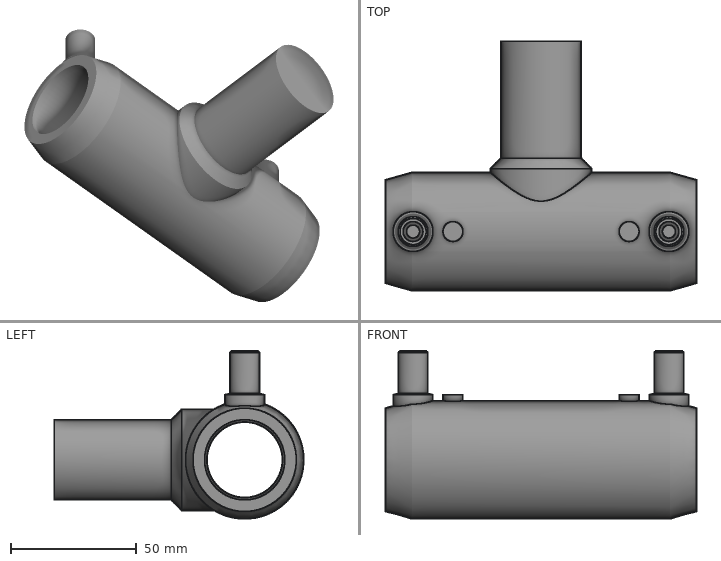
import cadquery as cq

sleeve_length = 124.0
sleeve_radius = 23.5
sleeve_end_radius = 20.6
end_taper_length = 10.5
socket_radius = 16.0
stop_radius = 15.0
stop_length = 3.7

branch_reach = 75.9
branch_radius = 16.0
collar_radius = 20.2
collar_reach = 25.0
collar_chamfer = collar_radius - branch_radius

terminal_x = 51.0
terminal_top = 43.4
terminal_radius = 6.0
terminal_chamfer = 0.7
terminal_base_radius = 7.9
terminal_base_top = 26.4
terminal_base_rim = 25.9
well_radius = 4.0
well_depth = 11.2
pin_radius = 2.6
pin_recess = 2.5

indicator_x = 35.1
indicator_radius = 4.0
indicator_top = 25.9

wall_start = (socket_radius + sleeve_end_radius) / 2


def riser(x, radius, bottom, top):
    """Vertical cylinder at the given X, between two heights."""
    return cq.Workplane("XY", origin=(x, 0, bottom)).circle(radius).extrude(top - bottom)


def bore(radius, length):
    """Cylinder along X, centred on the part."""
    return cq.Workplane("YZ").circle(radius).extrude(length / 2, both=True)


def make_sleeve():
    """Solid sleeve body with a taper at both ends."""
    half = sleeve_length / 2
    shoulder = half - end_taper_length
    profile = [
        (-half, 0),
        (-half, sleeve_end_radius),
        (-shoulder, sleeve_radius),
        (shoulder, sleeve_radius),
        (half, sleeve_end_radius),
        (half, 0),
    ]
    return cq.Workplane("XY").polyline(profile).close().revolve(360, (0, 0, 0), (1, 0, 0))


def make_branch():
    """Branch spigot with a collar that tapers down to it at 45 degrees."""
    profile = [
        (0, 0),
        (collar_radius, 0),
        (collar_radius, collar_reach),
        (branch_radius, collar_reach + collar_chamfer),
        (branch_radius, branch_reach),
        (0, branch_reach),
    ]
    return cq.Workplane("XY").polyline(profile).close().revolve(360, (0, 0, 0), (0, 1, 0))


def make_terminal(x):
    """Post on a base with a shallow conical top, and a contact pin standing in a well."""
    base_profile = [
        (0, wall_start),
        (terminal_base_radius, wall_start),
        (terminal_base_radius, terminal_base_rim),
        (terminal_radius, terminal_base_top),
        (0, terminal_base_top),
    ]
    base = cq.Workplane("XZ", origin=(x, 0, 0)).polyline(base_profile).close()
    base = base.revolve(360, (0, 0, 0), (0, 1, 0))
    post = riser(x, terminal_radius, wall_start, terminal_top)
    post = post.faces(">Z").chamfer(terminal_chamfer)
    well = riser(x, well_radius, terminal_top - well_depth, terminal_top)
    pin = riser(x, pin_radius, terminal_top - well_depth, terminal_top - pin_recess)
    return base.union(post).cut(well).union(pin)


body = make_sleeve().union(make_branch())
for side in (-1, 1):
    body = body.union(make_terminal(side * terminal_x))
    body = body.union(riser(side * indicator_x, indicator_radius, wall_start, indicator_top))

sockets = bore(socket_radius, sleeve_length).cut(bore(socket_radius, stop_length))
result = body.cut(sockets).cut(bore(stop_radius, sleeve_length))